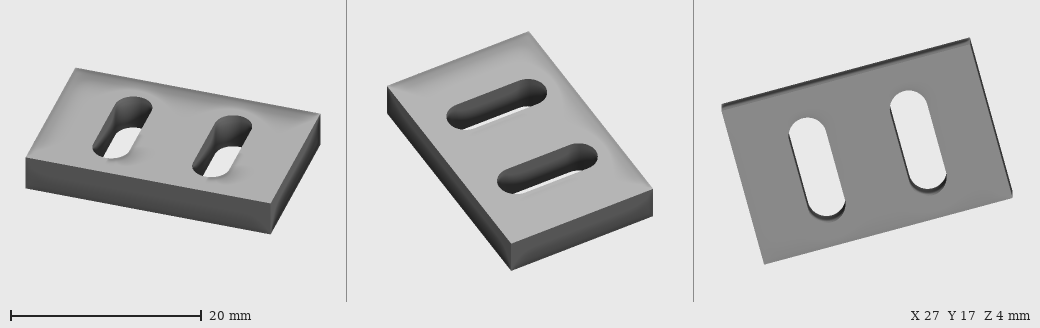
import cadquery as cq

plate_length = 27.0
plate_width = 17.0
plate_thickness = 4.0

slot_width = 4.0
slot_length = 11.5
slot_spacing = 11.0
back_margin = 3.0
slot_center_y = plate_width / 2 - back_margin - slot_length / 2


def make_plate():
    """Rectangular plate centred on the origin in X and Y, resting on Z = 0."""
    return cq.Workplane("XY").box(
        plate_length, plate_width, plate_thickness, centered=(True, True, False)
    )


def cut_slots(body):
    """Cut the round-ended slots through the full thickness."""
    slot_centers = [(side * slot_spacing / 2, slot_center_y) for side in (-1, 1)]
    slots = (
        cq.Workplane("XY")
        .pushPoints(slot_centers)
        .slot2D(slot_length, slot_width, angle=90)
        .extrude(plate_thickness)
    )
    return body.cut(slots)


result = cut_slots(make_plate())